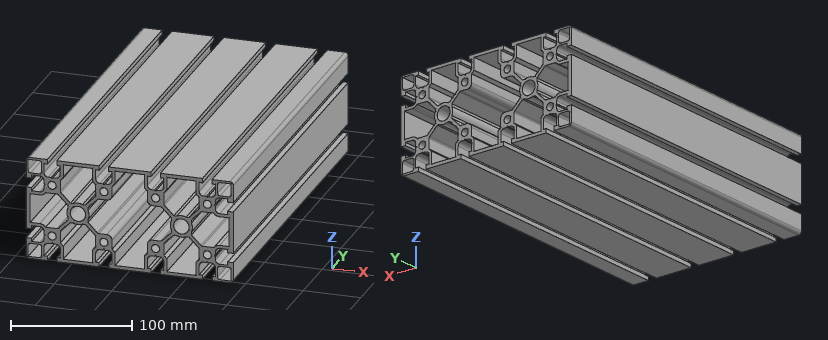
import cadquery as cq
import math

WIDTH = 180.0
HEIGHT = 90.0
LENGTH = 304.8
OUTER_RADIUS = 3.0

GRID_STEP = HEIGHT / 4

FACE_SKIN = 3.0
SIDE_SKIN = 3.7

SLOT_OPENING = 8.2
SLOT_WIDTH = 14.0
SLOT_DEPTH = 15.5
SLOT_RADIUS = 3.7
GROOVE_WIDTH = 1.5
GROOVE_DEPTH = 1.0
FACE_LIP = 4.0
SIDE_LIP = 5.0
SLOT_WALL = 2.7
HOUSING_CHAMFER = 3.7

BOSS_SIZE = 14.3
BOSS_HOLE = 7.0
BOSS_RADIUS = 4.5

CORE_HOLE = 13.5
CORE_DIAMETER = 19.2
CORE_SQUARE = 17.5
WEB = 3.0
WEB_FILLET = 1.8

CELL_WALL = 1.8
CELL_RADIUS = 2.0

HALF_WIDTH = WIDTH / 2
HALF_HEIGHT = HEIGHT / 2
BOSS_X_OUTER = 3 * GRID_STEP
BOSS_X_INNER = GRID_STEP
BOSS_Z = GRID_STEP
CORE_X = 2 * GRID_STEP
CELL_SIZE = GRID_STEP - SLOT_WIDTH / 2
SIGNS = (-1, 1)
BOSS_CENTRES = [
    (x_sign * x, z_sign * BOSS_Z)
    for x in (BOSS_X_INNER, BOSS_X_OUTER)
    for x_sign in SIGNS
    for z_sign in SIGNS
]


def section():
    """Workplane of the section, with local x along X and local y along Z."""
    return cq.Workplane("XZ", origin=(0, LENGTH / 2, 0))


def box(x, z, width, height):
    return section().center(x, z).rect(width, height).extrude(LENGTH)


def rod(x, z, diameter):
    return section().center(x, z).circle(diameter / 2).extrude(LENGTH)


def turned_to_face(shape, angle, x, z):
    """Shape made for the top face, turned about Y and moved to another face."""
    return shape.rotate((0, 0, 0), (0, 1, 0), angle).translate((x, 0, z))


def slot_cutter(lip):
    """T-slot with its mouth at z = 0, opening upward, with a V-groove in its floor."""
    chamber = box(0, -(lip + SLOT_DEPTH) / 2, SLOT_WIDTH, SLOT_DEPTH - lip)
    chamber = chamber.faces("<Z").edges("|Y").fillet(SLOT_RADIUS)
    mouth = box(0, -lip / 2, SLOT_OPENING, lip)
    groove_points = [
        (-GROOVE_WIDTH / 2, -SLOT_DEPTH),
        (GROOVE_WIDTH / 2, -SLOT_DEPTH),
        (0, -SLOT_DEPTH - GROOVE_DEPTH),
    ]
    groove = section().polyline(groove_points).close().extrude(LENGTH)
    return chamber.union(mouth).union(groove)


def housing_block():
    """Block that leaves a wall all around a slot whose mouth is at z = 0."""
    depth = SLOT_DEPTH + SLOT_WALL
    return box(0, -depth / 2, SLOT_WIDTH + 2 * SLOT_WALL, depth)


def face_housing():
    """Housing of a top or bottom slot, bevelled towards its boss."""
    return housing_block().faces("<Z").edges("|Y").chamfer(HOUSING_CHAMFER)


def side_housing():
    """Housing of a side slot, its lower corners concentric with those of the slot."""
    return housing_block().faces("<Z").edges("|Y").fillet(SLOT_RADIUS + SLOT_WALL)


def at_all_slots(face_shape, side_shape):
    """Copies of a slot shape, turned to every slot of the four outer faces."""
    shapes = []
    for sign in SIGNS:
        for x in (-BOSS_X_OUTER, -BOSS_X_INNER, BOSS_X_INNER, BOSS_X_OUTER):
            shapes.append(turned_to_face(face_shape, 90 - 90 * sign, x, sign * HALF_HEIGHT))
        for z in (-BOSS_Z, BOSS_Z):
            shapes.append(turned_to_face(side_shape, 90 * sign, sign * HALF_WIDTH, z))
    return shapes


def skin():
    """Outer tube, rounded only on its outside."""
    outer = box(0, 0, WIDTH, HEIGHT).edges("|Y").fillet(OUTER_RADIUS)
    return outer.cut(box(0, 0, WIDTH - 2 * SIDE_SKIN, HEIGHT - 2 * FACE_SKIN))


def boss(x, z):
    """Screw boss; the inner ones are rounded towards the middle of the section."""
    block = box(x, z, BOSS_SIZE, BOSS_SIZE)
    if abs(x) > BOSS_X_INNER:
        return block
    x_side = "<X" if x > 0 else ">X"
    z_side = "<Z" if z > 0 else ">Z"
    return block.faces(x_side).edges(z_side).fillet(BOSS_RADIUS)


def core(x):
    """Round core on a square, with four diagonal webs to the bosses around it."""
    web_length = 2 * GRID_STEP * math.sqrt(2)
    solid = rod(x, 0, CORE_DIAMETER).union(box(x, 0, CORE_SQUARE, CORE_SQUARE))
    for angle in (-45, 45):
        web = box(x, 0, web_length, WEB).rotate((x, 0, 0), (x, 1, 0), angle)
        solid = solid.union(web)
    return solid


def corner_cell(x_sign, z_sign):
    """Block that fills a corner, cut back to the rounded outer corner."""
    x = x_sign * (HALF_WIDTH - CELL_SIZE / 2)
    z = z_sign * (HALF_HEIGHT - CELL_SIZE / 2)
    block = box(x, z, CELL_SIZE, CELL_SIZE)
    x_side = ">X" if x_sign > 0 else "<X"
    z_side = ">Z" if z_sign > 0 else "<Z"
    return block.faces(x_side).edges(z_side).fillet(OUTER_RADIUS)


def cell_cavity(x_sign, z_sign):
    """Hollow of a corner cell, sharp only at the outer corner of the part."""
    size = CELL_SIZE - 2 * CELL_WALL
    x = x_sign * (HALF_WIDTH - CELL_SIZE / 2)
    z = z_sign * (HALF_HEIGHT - CELL_SIZE / 2)
    outer_corner = cq.NearestToPointSelector((x_sign * HALF_WIDTH, 0, z_sign * HALF_HEIGHT))
    rounded_edges = cq.selectors.SubtractSelector(cq.StringSyntaxSelector("|Y"), outer_corner)
    return box(x, z, size, size).edges(rounded_edges).fillet(CELL_RADIUS)


def fillet_webs(solid):
    """Round the corners where each web runs into its boss."""
    near = BOSS_SIZE / 2 - WEB / math.sqrt(2)
    far = BOSS_SIZE / 2
    for x, z in BOSS_CENTRES:
        core_x = math.copysign(CORE_X, x)
        x_inward = math.copysign(1, core_x - x)
        z_inward = -math.copysign(1, z)
        for x_offset, z_offset in ((near, far), (far, near)):
            corner = (x + x_inward * x_offset, 0, z + z_inward * z_offset)
            solid = solid.edges(cq.NearestToPointSelector(corner)).fillet(WEB_FILLET)
    return solid


profile = skin()
for housing in at_all_slots(face_housing(), side_housing()):
    profile = profile.union(housing)

for x, z in BOSS_CENTRES:
    profile = profile.union(boss(x, z))

for sign in SIGNS:
    profile = profile.union(core(sign * CORE_X))

profile = fillet_webs(profile)

for x_sign in SIGNS:
    for z_sign in SIGNS:
        profile = profile.union(corner_cell(x_sign, z_sign))

for slot in at_all_slots(slot_cutter(FACE_LIP), slot_cutter(SIDE_LIP)):
    profile = profile.cut(slot)

for x_sign in SIGNS:
    for z_sign in SIGNS:
        profile = profile.cut(cell_cavity(x_sign, z_sign))

for x, z in BOSS_CENTRES:
    profile = profile.cut(rod(x, z, BOSS_HOLE))

for sign in SIGNS:
    profile = profile.cut(rod(sign * CORE_X, 0, CORE_HOLE))

result = profile